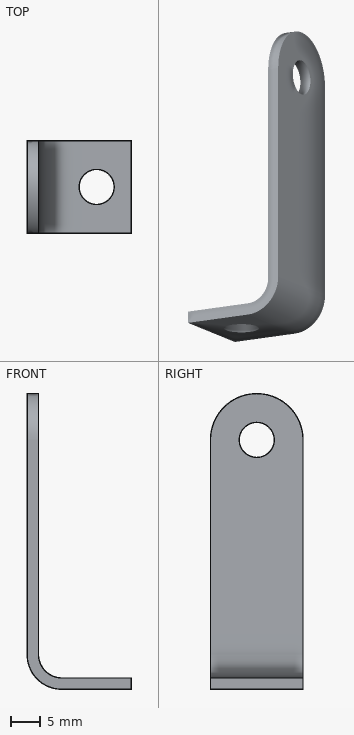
import cadquery as cq

width = 16.0
height = 51.0
foot_length = 18.0
thickness = 2.0
inner_bend_radius = 4.0
hole_diameter = 6.0

outer_bend_radius = inner_bend_radius + thickness
tip_radius = width / 2
upright_hole_height = height - tip_radius
foot_hole_x = (outer_bend_radius + foot_length) / 2


def make_bent_strip():
    """L-shaped strip of constant thickness, centred on Y, with a rounded bend."""
    profile = (
        cq.Workplane("XZ")
        .moveTo(0, height)
        .lineTo(0, outer_bend_radius)
        .radiusArc((outer_bend_radius, 0), -outer_bend_radius)
        .lineTo(foot_length, 0)
        .lineTo(foot_length, thickness)
        .lineTo(outer_bend_radius, thickness)
        .radiusArc((thickness, outer_bend_radius), inner_bend_radius)
        .lineTo(thickness, height)
        .close()
    )
    return profile.extrude(width / 2, both=True)


def make_upright_outline():
    """Block that bounds the bracket, with the full-round tip of the upright."""
    return (
        cq.Workplane("YZ")
        .moveTo(-width / 2, 0)
        .lineTo(width / 2, 0)
        .lineTo(width / 2, upright_hole_height)
        .threePointArc((0, height), (-width / 2, upright_hole_height))
        .close()
        .extrude(foot_length)
    )


def make_upright_hole():
    """Hole through the upright, concentric with its rounded tip."""
    return (
        cq.Workplane("YZ")
        .center(0, upright_hole_height)
        .circle(hole_diameter / 2)
        .extrude(thickness)
    )


def make_foot_hole():
    """Hole through the foot."""
    return (
        cq.Workplane("XY")
        .center(foot_hole_x, 0)
        .circle(hole_diameter / 2)
        .extrude(thickness)
    )


bracket = make_bent_strip().intersect(make_upright_outline())
result = bracket.cut(make_upright_hole()).cut(make_foot_hole())